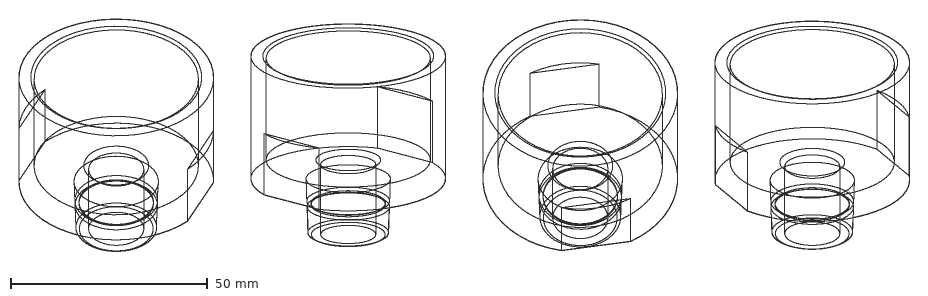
import cadquery as cq

body_diameter = 49.5
body_height = 33.0
bore_diameter = 41.75
bore_depth = 27.95
bore_chamfer_width = 0.85
bore_chamfer_height = 0.55

flat_spacing = 46.2
flat_height = body_height / 2

stem_length = 15.0
stem_top_diameter = 21.45
stem_taper = 1 / 16
stem_chamfer_width = 0.9
stem_chamfer_height = 0.5

groove_start = 6.0
groove_width = 1.5
groove_floor_width = 0.4
groove_floor_diameter = 18.9

hole_diameter = 14.0
hole_chamfer = 1.25


def stem_radius(depth):
    """Radius of the tapered stem at a distance below the body."""
    return (stem_top_diameter - stem_taper * depth) / 2


def make_body():
    """Plain cylinder standing on Z = 0."""
    return cq.Workplane("XY").circle(body_diameter / 2).extrude(body_height)


def make_stem():
    """Tapered stem with a groove and a chamfered end, revolved about Z."""
    groove_end = groove_start + groove_width
    groove_side = (groove_width - groove_floor_width) / 2
    chamfer_start = stem_length - stem_chamfer_height
    profile = [
        (0, 0),
        (stem_radius(0), 0),
        (stem_radius(groove_start), -groove_start),
        (groove_floor_diameter / 2, -groove_start - groove_side),
        (groove_floor_diameter / 2, -groove_end + groove_side),
        (stem_radius(groove_end), -groove_end),
        (stem_radius(chamfer_start), -chamfer_start),
        (stem_radius(chamfer_start) - stem_chamfer_width, -stem_length),
        (0, -stem_length),
    ]
    return cq.Workplane("XZ").polyline(profile).close().revolve(360, (0, 0), (0, 1))


def make_cavity():
    """Stepped space of the bore and through hole, with both chamfers."""
    bore_radius = bore_diameter / 2
    hole_radius = hole_diameter / 2
    floor = body_height - bore_depth
    profile = [
        (0, -stem_length),
        (hole_radius, -stem_length),
        (hole_radius, floor - hole_chamfer),
        (hole_radius + hole_chamfer, floor),
        (bore_radius, floor),
        (bore_radius, body_height - bore_chamfer_height),
        (bore_radius + bore_chamfer_width, body_height),
        (0, body_height),
    ]
    return cq.Workplane("XZ").polyline(profile).close().revolve(360, (0, 0), (0, 1))


def cut_flats(body):
    """Cut the two opposite wrench flats."""
    cut_depth = (body_diameter - flat_spacing) / 2
    for side in (-1, 1):
        cutter = (
            cq.Workplane("XY")
            .center(side * (flat_spacing + cut_depth) / 2, 0)
            .rect(cut_depth, body_diameter)
            .extrude(flat_height)
        )
        body = body.cut(cutter)
    return body


result = cut_flats(make_body()).union(make_stem()).cut(make_cavity())